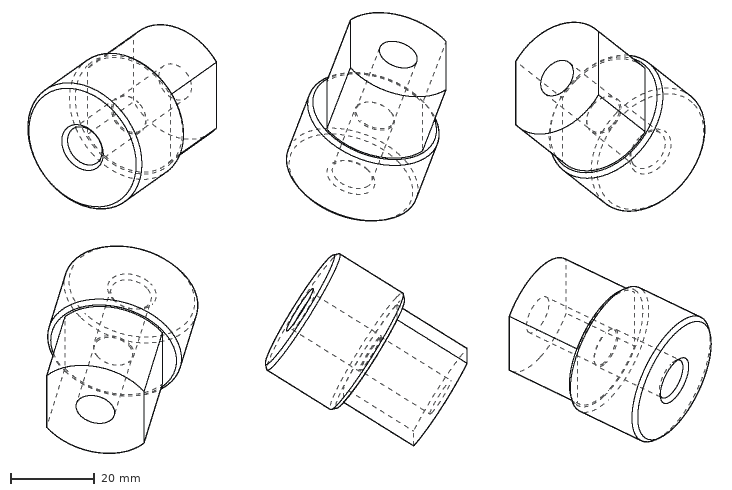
import cadquery as cq

total_length = 40.0
head_length = 20.0
head_diameter = 33.0
head_chamfer = 1.0
shank_diameter = 30.0
width_across_flats = 24.0
bore_diameter = 10.0
bore_chamfer = 1.0
bore_step = 0.25

shank_length = total_length - head_length


def disc(diameter, start, length):
    """Cylinder along +Y whose near face lies at Y = start."""
    plane = cq.Workplane("XZ", origin=(0, start, 0))
    return plane.circle(diameter / 2).extrude(-length)


head = disc(head_diameter, 0, head_length).edges().chamfer(head_chamfer)

flats = cq.Workplane("XY").box(width_across_flats, total_length, shank_diameter)
flats = flats.translate((0, total_length / 2, 0))
shank = disc(shank_diameter, head_length, shank_length).intersect(flats)

bore_radius = bore_diameter / 2
narrow_radius = bore_radius - bore_step
bore_profile = (
    cq.Workplane("XY")
    .lineTo(bore_radius + bore_chamfer, 0)
    .lineTo(bore_radius, bore_chamfer)
    .lineTo(bore_radius, head_length)
    .lineTo(narrow_radius, head_length + bore_step)
    .lineTo(narrow_radius, total_length)
    .lineTo(0, total_length)
    .close()
)
bore = bore_profile.revolve(360, (0, 0, 0), (0, 1, 0))

result = head.union(shank).cut(bore)